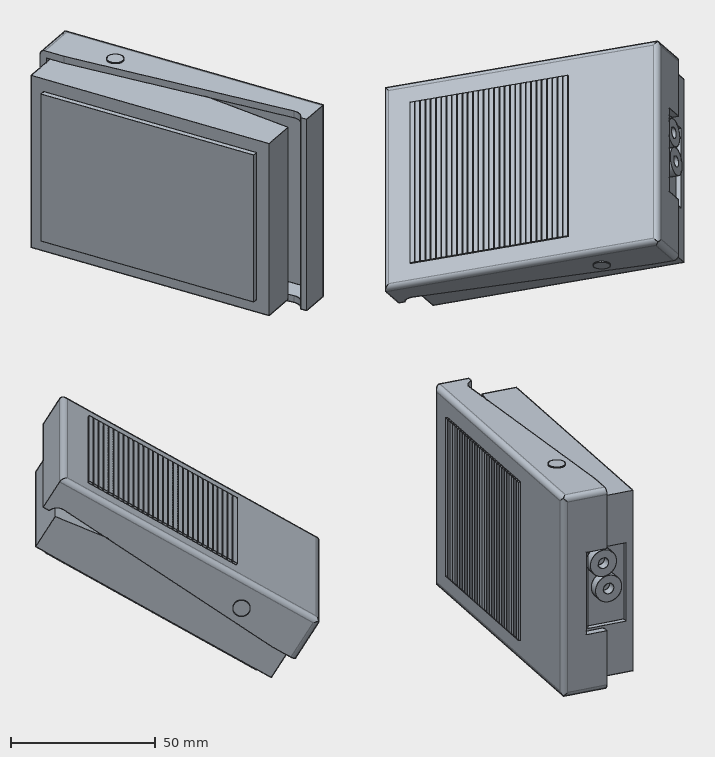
import cadquery as cq


cover_length = 104
cover_width = 76.1
cover_depth = 17.0
wall = 2.7
edge_radius = 2.0
rim_flat_length = 9.7
rim_slope_end = (97.2, -10.2)
lip_thickness = 2.4
lip_depth = 13.0
notch_width = 31.2
notch_start = 9.0

rib_count = 30
rib_pitch = 2.0
rib_gap = 0.3
rib_height = 0.7
rib_length = 60.0
ribs_start = 34.1

base_start = 3.0
base_length = 94.8
base_width = 68.4
base_front = 28.3
base_back_left = 3.2
base_back_right = 15.2
panel_length = 84.9
panel_width = 58.5
panel_height = 2.0

recess_width = 29.7
recess_start = 11.0
recess_length = 14.7
recess_depth = 2.0
socket_diameter = 10.0
socket_bore = 4.0
socket_projection = 1.5
socket_places = [(-16.3, 9.5), (-18.3, -0.5)]

pin_diameter = 6.0
pin_length = 77
pin_x = 26
pin_y = -10.0


def block(start_x, length, near_depth, far_depth, width):
    """Box centred on Z = 0, between two depths measured from the back face."""
    depth = far_depth - near_depth
    return cq.Workplane("XY").box(length, depth, width, centered=(False, False, True)).translate(
        (start_x, -far_depth, 0)
    )


def extrude_side_outline(outline, width):
    """Extrude a closed XY outline across the case, centred on Z = 0."""
    return outline.extrude(width / 2, both=True)


def make_pin():
    return cq.Workplane("XY").center(pin_x, pin_y).circle(pin_diameter / 2).extrude(pin_length / 2, both=True)


def make_ribs():
    ribs = []
    for index in range(rib_count):
        rib_x = ribs_start + index * rib_pitch
        ribs.append(block(rib_x, rib_pitch - rib_gap, -rib_height, 0, rib_length))
    return ribs


def make_cover(pin):
    side_outline = (
        cq.Workplane("XY")
        .moveTo(0, 0)
        .lineTo(0, -cover_depth)
        .lineTo(rim_flat_length, -cover_depth)
        .lineTo(*rim_slope_end)
        .tangentArcPoint((cover_length - lip_thickness, -lip_depth), relative=False)
        .lineTo(cover_length, -lip_depth)
        .lineTo(cover_length, 0)
        .close()
    )
    side_solid = extrude_side_outline(side_outline, cover_width).edges("|Z and >Y").fillet(edge_radius)

    envelope = block(0, cover_length, 0, cover_depth, cover_width)
    end_solid = envelope.edges("|X and >Y").fillet(edge_radius)
    front_solid = envelope.edges("|Y and <X").fillet(edge_radius)
    cover = side_solid.intersect(end_solid).intersect(front_solid)

    cavity_length = cover_length - 2 * wall
    cavity_width = cover_width - 2 * wall
    cover = cover.cut(block(wall, cavity_length, wall, cover_depth, cavity_width))
    cover = cover.cut(block(0, wall, notch_start, cover_depth, notch_width))
    for rib in make_ribs():
        cover = cover.union(rib)
    return cover.cut(pin)


def make_base(pin):
    base_end = base_start + base_length
    side_outline = cq.Workplane("XY").polyline(
        [
            (base_start, -base_back_left),
            (base_start, -base_front),
            (base_end, -base_front),
            (base_end, -base_back_right),
        ]
    ).close()
    base = extrude_side_outline(side_outline, base_width)

    panel_start = base_start + (base_length - panel_length) / 2
    base = base.union(block(panel_start, panel_length, base_front, base_front + panel_height, panel_width))

    base = base.cut(block(base_start, recess_depth, recess_start, recess_start + recess_length, recess_width))
    recess_floor = cq.Workplane("YZ", origin=(base_start + recess_depth, 0, 0)).pushPoints(socket_places)
    socket_height = recess_depth + socket_projection
    base = base.union(recess_floor.circle(socket_diameter / 2).extrude(-socket_height))
    base = base.cut(recess_floor.circle(socket_bore / 2).extrude(-socket_height))
    return base.cut(pin)


pin = make_pin()
cover = make_cover(pin)
base = make_base(pin)

result = cq.Compound.makeCompound([cover.val(), base.val(), pin.val()])